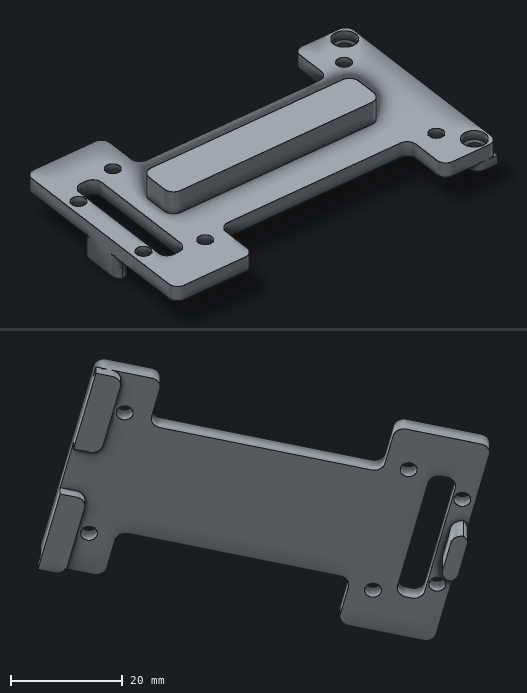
import cadquery as cq

plate_width = 44.0
plate_length = 73.0
plate_thick = 3.2
web_width = 23.8
rear_flange_length = 12.3
front_flange_length = 17.75
corner_radius = 2.0

bar_width = 8.6
bar_length = 47.45
bar_height = 4.9
bar_corner_radius = 2.1

hole_dia = 3.0
screw_hole_x = 13.5
rear_screw_hole_y = 29.1
front_screw_hole_y = -23.2
edge_hole_x = 9.5
edge_hole_y = -34.1
slot_width = 27.0
slot_length = 5.0
slot_center_y = -29.8

bore_dia = 5.0
bore_depth = 2.0
bore_x = 19.0
bore_y = 33.5

pad_length = 5.0
pad_height = 2.0
pad_gap = 10.1

tab_depth = 3.0
tab_height = 4.9
tab_front_flat = 6.4
tab_rear_flat = 6.1
tab_ridge_x = 5.05
tab_ridge_inset = 1.1

rear_y = plate_length / 2
front_y = -plate_length / 2


def rounded_box(width, length, height, radius, center_y=0):
    """Box standing on Z = 0 with rounded vertical edges."""
    box = cq.Workplane("XY").center(0, center_y).rect(width, length).extrude(height)
    return box.edges("|Z").fillet(radius)


def make_plate():
    half_width = plate_width / 2
    half_web = web_width / 2
    rear_step_y = rear_y - rear_flange_length
    front_step_y = front_y + front_flange_length
    right_side = [
        (half_width, front_y),
        (half_width, front_step_y),
        (half_web, front_step_y),
        (half_web, rear_step_y),
        (half_width, rear_step_y),
        (half_width, rear_y),
    ]
    left_side = [(-x, y) for x, y in reversed(right_side)]
    plate = cq.Workplane("XY").polyline(right_side + left_side).close().extrude(plate_thick)
    return plate.edges("|Z").fillet(corner_radius)


def make_pad(side):
    """Pad reaching the outer side; its rear corners are square, its front ones round."""
    width = (plate_width - pad_gap) / 2
    center_x = side * (plate_width + pad_gap) / 4
    pad = (
        cq.Workplane("XY")
        .center(center_x, rear_y - pad_length / 2)
        .rect(width, pad_length)
        .extrude(-pad_height)
    )
    return pad.faces("<Y").edges("|Z").fillet(corner_radius)


def make_tab():
    """Tab flush with the front face; two arcs meet in a ridge at each end."""
    tab_rear_y = front_y + tab_depth
    ridge_y = front_y + tab_ridge_inset
    return (
        cq.Workplane("XY")
        .moveTo(-tab_front_flat / 2, front_y)
        .lineTo(tab_front_flat / 2, front_y)
        .radiusArc((tab_ridge_x, ridge_y), -corner_radius)
        .radiusArc((tab_rear_flat / 2, tab_rear_y), -corner_radius)
        .lineTo(-tab_rear_flat / 2, tab_rear_y)
        .radiusArc((-tab_ridge_x, ridge_y), -corner_radius)
        .radiusArc((-tab_front_flat / 2, front_y), -corner_radius)
        .close()
        .extrude(-tab_height)
    )


def cylinders(points, diameter, bottom_z, height):
    return (
        cq.Workplane("XY", origin=(0, 0, bottom_z))
        .pushPoints(points)
        .circle(diameter / 2)
        .extrude(height)
    )


bar = rounded_box(bar_width, bar_length, bar_height, bar_corner_radius)
slot = rounded_box(slot_width, slot_length, plate_thick, corner_radius, slot_center_y)

plate_hole_points = []
bore_points = []
for side in (-1, 1):
    plate_hole_points += [
        (side * screw_hole_x, rear_screw_hole_y),
        (side * screw_hole_x, front_screw_hole_y),
        (side * edge_hole_x, edge_hole_y),
    ]
    bore_points.append((side * bore_x, bore_y))

result = make_plate().cut(slot)
result = result.cut(cylinders(plate_hole_points + bore_points, hole_dia, 0, plate_thick))
result = result.cut(cylinders(bore_points, bore_dia, plate_thick - bore_depth, bore_depth))

result = result.union(bar.translate((0, 0, plate_thick)))
result = result.union(make_tab())
for side in (-1, 1):
    result = result.union(make_pad(side))